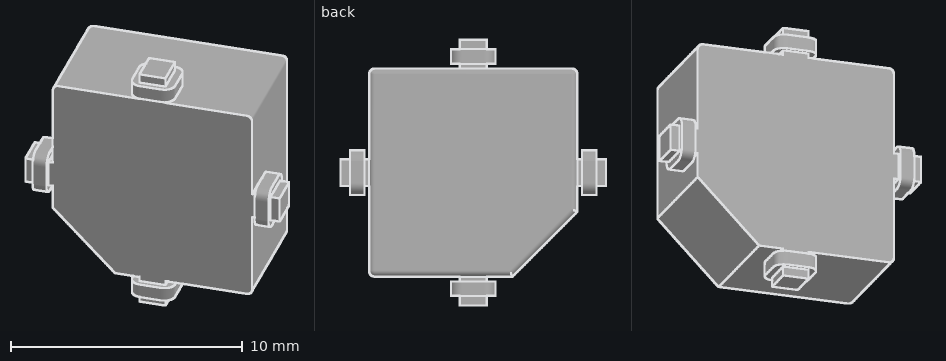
import cadquery as cq

span = 11.48

body_side = 9.0
body_depth = 5.43
corner_cut = 2.81
edge_radius = 0.25

pin_width = 1.17
pin_depth = 1.42

collar_width = 1.94
collar_depth = 1.99
collar_overhang = 0.29
collar_thickness = 0.63
collar_setback = 0.41
collar_radius = 0.48

half_side = body_side / 2
half_span = span / 2


def housing():
    """Block with one cut corner, three rounded corners and a rounded back rim."""
    outline = [
        (-half_side, half_side),
        (half_side, half_side),
        (half_side, -half_side),
        (-half_side + corner_cut, -half_side),
        (-half_side, -half_side + corner_cut),
    ]
    block = cq.Workplane("XZ").polyline(outline).close().extrude(-body_depth)
    square_corners = (
        block.edges("|Y and >X")
        .add(block.edges("|Y and <X").edges(">Z"))
    )
    block = square_corners.fillet(edge_radius)
    return block.faces(">Y").edges().fillet(edge_radius)


def terminal():
    """Pin with its collar, pointing along +Z."""
    pin_length = half_span - half_side
    pin = cq.Workplane("XY").box(
        pin_width, pin_depth, pin_length, centered=(True, False, False)
    ).translate((0, 0, half_side))
    collar = (
        cq.Workplane("XY")
        .box(collar_width, collar_depth, collar_thickness, centered=(True, False, False))
        .edges("|Z")
        .fillet(collar_radius)
        .translate((0, -collar_overhang, half_span - collar_setback - collar_thickness))
    )
    return pin.union(collar)


result = housing()
for angle in (0, 90, 180, 270):
    result = result.union(terminal().rotate((0, 0, 0), (0, 1, 0), angle))